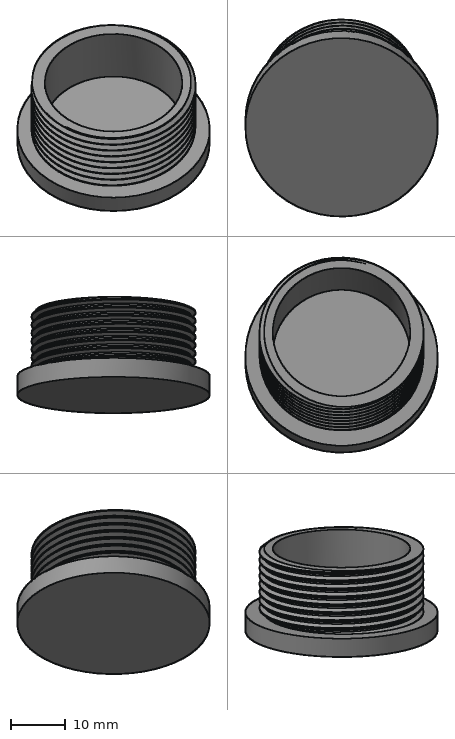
import cadquery as cq
import math

flange_diameter = 35.0
flange_height = 3.5

neck_height = 12.0
bore_diameter = 25.0
bore_depth = 11.0
total_height = flange_height + neck_height

crest_radius = 29.85 / 2
root_radius = 28.15 / 2
pitch = 1.5
crest_width = pitch / 8
half_flank_angle = math.radians(30)
first_crest_height = 0.6
root_overlap = 0.1
extra_turns = 2


def make_flange():
    return cq.Workplane("XY").circle(flange_diameter / 2).extrude(flange_height)


def make_ridge():
    """Sweep the thread ridge along a helix that runs past both ends of the neck."""
    start_z = flange_height + first_crest_height - extra_turns * pitch
    turns = math.ceil(neck_height / pitch) + 2 * extra_turns
    inner_radius = root_radius - root_overlap
    half_crest = crest_width / 2
    half_base = half_crest + (crest_radius - inner_radius) * math.tan(half_flank_angle)

    helix = cq.Wire.makeHelix(pitch, turns * pitch, root_radius).translate(cq.Vector(0, 0, start_z))
    return (
        cq.Workplane("XZ")
        .polyline([
            (inner_radius, start_z - half_base),
            (crest_radius, start_z - half_crest),
            (crest_radius, start_z + half_crest),
            (inner_radius, start_z + half_base),
        ])
        .close()
        .sweep(cq.Workplane(obj=helix), isFrenet=True)
    )


def make_neck():
    """Join the ridge to an overlong core, then trim both flush with the neck's ends."""
    end_margin = (extra_turns + 2) * pitch
    core = (
        cq.Workplane("XY")
        .workplane(offset=flange_height - end_margin)
        .circle(root_radius)
        .extrude(neck_height + 2 * end_margin)
    )
    neck_space = (
        cq.Workplane("XY")
        .workplane(offset=flange_height)
        .circle(flange_diameter / 2)
        .extrude(neck_height)
    )
    return core.union(make_ridge()).intersect(neck_space)


def make_bore():
    return (
        cq.Workplane("XY")
        .workplane(offset=total_height - bore_depth)
        .circle(bore_diameter / 2)
        .extrude(bore_depth)
    )


result = make_flange().union(make_neck()).cut(make_bore())